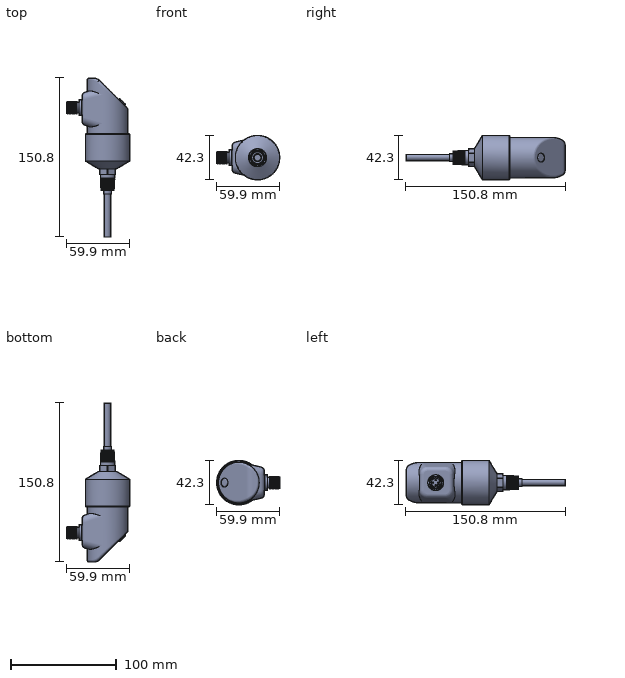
import cadquery as cq
import math


overall_width = 59.95
overlap = 1.0

base_radius = 21.15
base_edge_chamfer = 0.8
cone_start_y = -26.1
hex_start_y = -33.6
hex_end_y = -39.1
thread_start_y = -42.4
thread_end_y = -54.0
sleeve_end_y = -57.3
probe_end_y = -98.3
cone_end_radius = 8.6
hex_across_flats = 15.0
hex_corner_diameter = 17.0
shank_radius = 6.9
thread_end_radius = 6.3
pipe_thread_pitch = 0.94
pipe_thread_depth = 0.75
sleeve_radius = 3.8
probe_radius = 3.15

head_radius = 19.3
head_height = 52.5
slope_offset = 42.7
crest_radius = 8.0
head_edge_fillet = 2.0

button_x = 13.4
button_radius = 4.2
button_height = 1.3
button_fillet = 0.7

block_face_x = -24.15
block_tangent_x = -4.47
block_face_top_y = 38.5
block_face_bottom_y = 8.6
block_top_draft = 14.0
block_bottom_draft = 17.8
block_corner_radius = 7.2
block_face_fillet = 4.0

connector_y = 24.5
connector_end_x = base_radius - overall_width
connector_thread_end_x = -29.0
flange_outer_x = -26.9
flange_inner_x = -24.8
flange_radius = 7.55
flange_step_radius = 7.0
connector_neck_radius = 5.2
connector_thread_radius = 6.0
connector_thread_pitch = 1.0
connector_thread_depth = 0.6
socket_radius = 4.2
socket_depth = 8.5
pin_radius = 0.6
pin_circle_radius = 2.5
pin_setback = 5.0
pin_count = 4
key_setback = 1.0
key_offset = 1.8


def thread_ridges(start, end, start_radius, end_radius, pitch, depth):
    """Points (distance along the axis, radius) of V grooves on a straight or tapered thread."""
    groove_count = int(abs(end - start) / pitch)
    step = (end - start) / groove_count
    points = []
    for index in range(groove_count):
        for fraction, inset in ((0.5, depth), (1.0, 0.0)):
            turns = index + fraction
            crest = start_radius + (end_radius - start_radius) * turns / groove_count
            points.append((start + step * turns, crest - inset))
    return points


def make_base():
    """Cup with a cone, hexagon, tapered pipe thread and probe, all on the Y axis."""
    pipe_thread = thread_ridges(
        thread_start_y, thread_end_y, shank_radius, thread_end_radius, pipe_thread_pitch, pipe_thread_depth
    )
    body = (
        cq.Workplane("XY")
        .moveTo(0, 0)
        .lineTo(base_radius - base_edge_chamfer, 0)
        .lineTo(base_radius, -base_edge_chamfer)
        .lineTo(base_radius, cone_start_y)
        .lineTo(cone_end_radius, hex_start_y)
        .lineTo(shank_radius, hex_start_y)
        .lineTo(shank_radius, thread_start_y)
    )
    for along, radius in pipe_thread:
        body = body.lineTo(radius, along)
    body = (
        body.lineTo(sleeve_radius, thread_end_y)
        .lineTo(sleeve_radius, sleeve_end_y)
        .lineTo(probe_radius, sleeve_end_y)
        .lineTo(probe_radius, probe_end_y)
        .lineTo(0, probe_end_y)
        .close()
        .revolve(360, (0, 0, 0), (0, 1, 0))
    )
    return body.union(make_hexagon())


def make_hexagon():
    """Hexagon with flats facing +X and -X and its corners turned down to a circle."""
    length = hex_start_y - hex_end_y
    plane = cq.Workplane("XZ", origin=(0, hex_start_y, 0))
    corner_diameter = hex_across_flats / math.cos(math.pi / 6)
    hexagon = plane.transformed(rotate=(0, 0, 30)).polygon(6, corner_diameter).extrude(length)
    return hexagon.intersect(plane.circle(hex_corner_diameter / 2).extrude(length))


def make_head_shell():
    """Cylinder cut by a 45 degree face that rolls over into a flat top, with a rounded rim."""
    crest_angle = math.radians(45)
    crest_tangent = crest_radius * math.tan(crest_angle / 2)
    crest_corner_x = slope_offset - head_height
    crest_start_x = crest_corner_x - crest_tangent
    slope_start_x = crest_corner_x + crest_tangent * math.cos(crest_angle)
    crest_mid = (
        crest_start_x + crest_radius * math.sin(crest_angle / 2),
        head_height - crest_radius * (1 - math.cos(crest_angle / 2)),
    )
    outer_x = head_radius + overlap
    side_profile = (
        cq.Workplane("XY")
        .moveTo(-outer_x, 0)
        .lineTo(-outer_x, head_height)
        .lineTo(crest_start_x, head_height)
        .threePointArc(crest_mid, (slope_start_x, slope_offset - slope_start_x))
        .lineTo(outer_x, slope_offset - outer_x)
        .lineTo(outer_x, 0)
        .close()
        .extrude(outer_x, both=True)
    )
    cylinder = cq.Workplane("XZ").circle(head_radius).extrude(-head_height)
    return cylinder.intersect(side_profile).faces(">Y").edges("<X").fillet(head_edge_fillet)


def make_connector_block():
    """Drafted block whose flanks run tangent into the head, with rounded corners and face."""
    depth = block_tangent_x - block_face_x
    tangent_z = math.sqrt(head_radius**2 - block_tangent_x**2)
    face_z = tangent_z + depth * block_tangent_x / tangent_z
    top_y = block_face_top_y + depth * math.tan(math.radians(block_top_draft))
    bottom_y = block_face_bottom_y - depth * math.tan(math.radians(block_bottom_draft))
    flanks = (
        cq.Workplane("XZ")
        .polyline(
            [
                (block_face_x, face_z),
                (block_tangent_x, tangent_z),
                (block_tangent_x, -tangent_z),
                (block_face_x, -face_z),
            ]
        )
        .close()
        .extrude(2 * head_height, both=True)
    )
    ends = (
        cq.Workplane("XY")
        .polyline(
            [
                (block_face_x, block_face_top_y),
                (block_tangent_x, top_y),
                (block_tangent_x, bottom_y),
                (block_face_x, block_face_bottom_y),
            ]
        )
        .close()
        .extrude(head_radius, both=True)
    )
    block = flanks.intersect(ends)
    block = block.edges("not(<X or >X)").fillet(block_corner_radius)
    return block.faces("<X").edges().fillet(block_face_fillet)


def make_connector():
    """Threaded round connector with a flange and an open socket, on an axis along X."""
    root_radius = connector_thread_radius - connector_thread_depth
    thread = thread_ridges(
        connector_end_x,
        connector_thread_end_x,
        connector_thread_radius,
        connector_thread_radius,
        connector_thread_pitch,
        connector_thread_depth,
    )
    floor_x = connector_end_x + socket_depth
    mount_x = block_face_x + overlap
    outline = [(floor_x, 0), (floor_x, socket_radius), (connector_end_x, socket_radius)]
    outline.append((connector_end_x, root_radius))
    outline += thread
    outline += [
        (connector_thread_end_x, connector_neck_radius),
        (flange_outer_x, connector_neck_radius),
        (flange_outer_x, flange_radius),
        (flange_inner_x, flange_radius),
        (flange_inner_x, flange_step_radius),
        (mount_x, flange_step_radius),
        (mount_x, 0),
    ]
    shell = (
        cq.Workplane("XY", origin=(0, connector_y, 0))
        .polyline(outline)
        .close()
        .revolve(360, (0, 0, 0), (1, 0, 0))
    )
    return shell.union(make_pins(floor_x)).union(make_key(floor_x))


def make_pins(floor_x):
    """Contact pins standing on the socket floor."""
    return (
        cq.Workplane("YZ", origin=(floor_x, connector_y, 0))
        .polarArray(pin_circle_radius, 0, 360, pin_count)
        .circle(pin_radius)
        .extrude(connector_end_x + pin_setback - floor_x)
    )


def make_key(floor_x):
    """Polarising key filling the -Y, -Z corner of the socket."""
    plane = cq.Workplane("YZ", origin=(floor_x, connector_y, 0))
    length = connector_end_x + key_setback - floor_x
    corner = (
        plane.moveTo(-key_offset, -key_offset)
        .rect(-2 * socket_radius, -2 * socket_radius, centered=False)
        .extrude(length)
    )
    return corner.intersect(plane.circle(socket_radius + connector_thread_depth / 2).extrude(length))


def make_button():
    """Low round button standing square on the sloping face."""
    slope = cq.Plane(origin=(button_x, slope_offset - button_x, 0), xDir=(0, 0, 1), normal=(1, 1, 0))
    return (
        cq.Workplane(slope)
        .workplane(offset=-overlap)
        .circle(button_radius)
        .extrude(overlap + button_height)
        .faces(">(1, 1, 0)")
        .edges()
        .fillet(button_fillet)
    )


def make_head():
    """Head with its connector block, round connector and button as one solid."""
    return (
        make_head_shell()
        .union(make_connector_block())
        .union(make_connector())
        .union(make_button())
    )


base = make_base()
head = make_head()

result = cq.Compound.makeCompound([base.val(), head.val()])